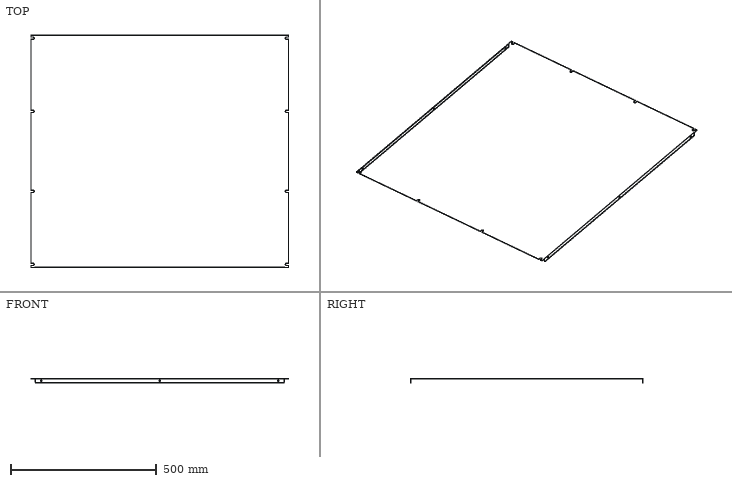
import cadquery as cq

panel_length = 886.5
panel_width = 799.6
panel_height = 15.0
sheet_thickness = 1.5

flange_end_inset = 15.0
flange_length = panel_length - 2 * flange_end_inset
flange_corner_radius = 4.0
bend_outer_radius = 1.0

slot_width = 7.0
slot_depth = 11.0
outer_slot_edge_distance = 11.0
outer_slot_y = panel_width / 2 - outer_slot_edge_distance
inner_slot_y = 137.5
slot_positions = (-outer_slot_y, -inner_slot_y, inner_slot_y, outer_slot_y)

hole_diameter = 4.2
hole_drop = 7.5
hole_end_distance = 35.5
outer_hole_x = panel_length / 2 - hole_end_distance
hole_positions = (-outer_hole_x, 0, outer_hole_x)


def make_block(length, width, height):
    """Block centred in X and Y that reaches from Z = 0 down to the given height."""
    return cq.Workplane("XY").rect(length, width).extrude(-height)


def make_channel():
    """Sheet between the flange ends: web and two flanges, with rounded bends and lower corners."""
    inner_width = panel_width - 2 * sheet_thickness
    outer = make_block(flange_length, panel_width, panel_height)
    outer = outer.edges("|X and >Z").fillet(bend_outer_radius)
    outer = outer.edges("|Y and <Z").fillet(flange_corner_radius)
    inner = make_block(flange_length, inner_width, panel_height)
    return outer.cut(inner.translate((0, 0, -sheet_thickness)))


def make_end_plate(side):
    """Flat end of the panel, reaching past the flanges at full width."""
    middle_x = side * (panel_length - flange_end_inset) / 2
    return make_block(flange_end_inset, panel_width, sheet_thickness).translate((middle_x, 0, 0))


def make_end_slots(side):
    """Cutters for the round-bottomed slots that open through one end of the panel."""
    return (
        cq.Workplane("XY")
        .pushPoints([(side * panel_length / 2, y) for y in slot_positions])
        .slot2D(2 * slot_depth, slot_width)
        .extrude(-sheet_thickness)
    )


def make_flange_holes():
    """Cutters for the fixing holes, running across the whole panel width."""
    return (
        cq.Workplane("XZ")
        .pushPoints([(x, -hole_drop) for x in hole_positions])
        .circle(hole_diameter / 2)
        .extrude(panel_width / 2, both=True)
    )


result = make_channel()
for end in (-1, 1):
    result = result.union(make_end_plate(end))
for end in (-1, 1):
    result = result.cut(make_end_slots(end))
result = result.cut(make_flange_holes())